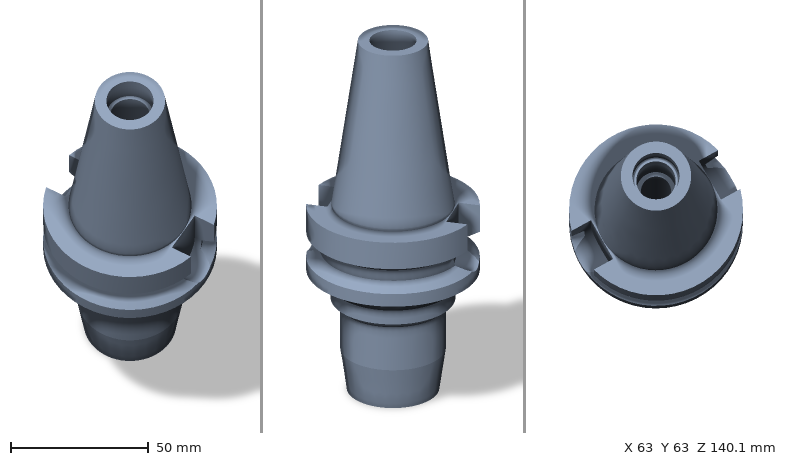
import cadquery as cq

TOTAL_HEIGHT = 140.1
NOSE_CONE_TOP = 16.4
NOSE_TOP = 33.8
COLLAR_BOTTOM = 36.5
COLLAR_TOP = 42.2
FLANGE_BOTTOM = 48.0
LOWER_RIM_TOP = 53.1
GROOVE_BOTTOM = 56.0
GROOVE_TOP = 60.2
UPPER_RIM_BOTTOM = 63.2
FLANGE_TOP = 73.8
TAPER_BOTTOM = 74.8

NOSE_TIP_RADIUS = 16.8
NOSE_RADIUS = 19.2
COLLAR_RADIUS = 22.7
FLANGE_UNDERSIDE_RADIUS = 30.0
FLANGE_RADIUS = 31.5
GROOVE_RADIUS = 26.5
TAPER_LARGE_RADIUS = 22.3
TAPER_SMALL_RADIUS = 12.7

THROUGH_RADIUS = 5.5
STEP_RADIUS = 7.1
STEP_DEPTH = 30.0
MOUTH_RADIUS = 8.5
MOUTH_DEPTH = 9.1

SLOT_WIDTH = 16.4
SLOT_BOTTOM = 51.8
SLOT_FLOOR_DISTANCE = 22.4


def turned_body():
    """Revolve the outer profile around Z."""
    profile = [
        (0, 0),
        (NOSE_TIP_RADIUS, 0),
        (NOSE_RADIUS, NOSE_CONE_TOP),
        (NOSE_RADIUS, NOSE_TOP),
        (COLLAR_RADIUS, COLLAR_BOTTOM),
        (COLLAR_RADIUS, COLLAR_TOP),
        (FLANGE_UNDERSIDE_RADIUS, FLANGE_BOTTOM),
        (FLANGE_RADIUS, FLANGE_BOTTOM),
        (FLANGE_RADIUS, LOWER_RIM_TOP),
        (GROOVE_RADIUS, GROOVE_BOTTOM),
        (GROOVE_RADIUS, GROOVE_TOP),
        (FLANGE_RADIUS, UPPER_RIM_BOTTOM),
        (FLANGE_RADIUS, FLANGE_TOP),
        (TAPER_LARGE_RADIUS, FLANGE_TOP),
        (TAPER_LARGE_RADIUS, TAPER_BOTTOM),
        (TAPER_SMALL_RADIUS, TOTAL_HEIGHT),
        (0, TOTAL_HEIGHT),
    ]
    return cq.Workplane("XZ").polyline(profile).close().revolve(360, (0, 0), (0, 1))


def bore_from_top(radius, depth):
    """Cylinder reaching down from the small end of the taper."""
    return cq.Workplane("XY").workplane(offset=TOTAL_HEIGHT - depth).circle(radius).extrude(depth)


def drive_slot():
    """Cutter for the slot on the +X side, open outwards and upwards."""
    half_width = SLOT_WIDTH / 2
    arc_center = SLOT_BOTTOM + half_width
    return (
        cq.Workplane("YZ")
        .workplane(offset=SLOT_FLOOR_DISTANCE)
        .moveTo(-half_width, FLANGE_TOP)
        .lineTo(-half_width, arc_center)
        .threePointArc((0, SLOT_BOTTOM), (half_width, arc_center))
        .lineTo(half_width, FLANGE_TOP)
        .close()
        .extrude(FLANGE_RADIUS)
    )


result = turned_body()
bore_steps = [
    (THROUGH_RADIUS, TOTAL_HEIGHT),
    (STEP_RADIUS, STEP_DEPTH),
    (MOUTH_RADIUS, MOUTH_DEPTH),
]
for step_radius, step_depth in bore_steps:
    result = result.cut(bore_from_top(step_radius, step_depth))
for angle in (0, 180):
    result = result.cut(drive_slot().rotate((0, 0, 0), (0, 0, 1), angle))